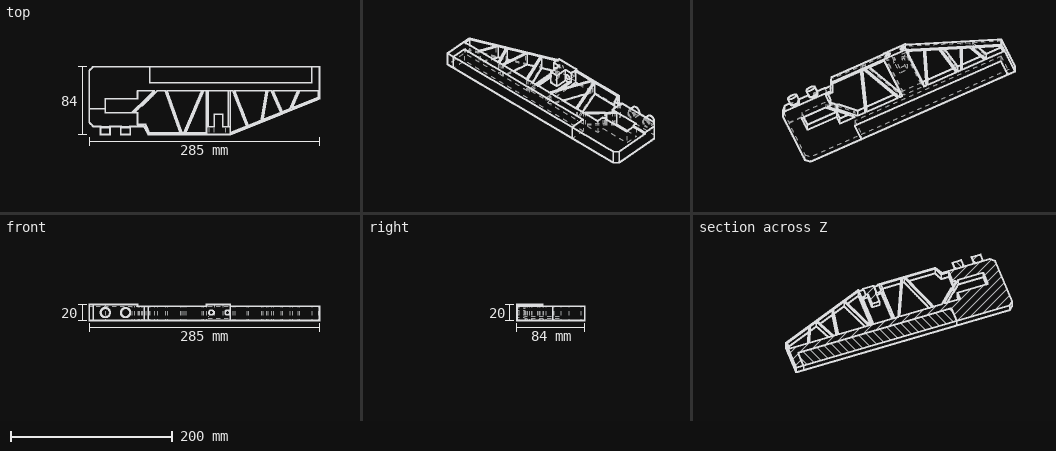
import cadquery as cq
import math

LENGTH = 285.0
DEPTH = 84.0
FRAME_HEIGHT = 18.0
BLOCK_HEIGHT = 20.0
WALL = 2.0
MID_HEIGHT = BLOCK_HEIGHT / 2

BEAM_DEPTH = 30.2
BEAM_FRONT = DEPTH - BEAM_DEPTH

CLAMP_LENGTH = 59.8
CLAMP_FRONT = 10.0
CLAMP_CHAMFER = 5.0
SLOT_START = 20.0
SLOT_FRONT = 27.0
SLOT_BACK = 44.2
JAW_BACK = 32.2

BAR_START = 75.0
BAR_LENGTH = 200.0
BAR_DEPTH = 20.0

LEDGE_WALL = 2.5
LEDGE_END = 67.8
FRONT_WALL_START = 73.2
SLOPE_START = 174.7
SLOPE_END_Y = 44.5

BRIDGE_START = 144.8
BRIDGE_WIDTH = 30.0
BRIDGE_END = BRIDGE_START + BRIDGE_WIDTH
BLOCK_DEPTH = 10.0
STEM_CENTER = 160.0
STEM_WIDTH = 10.3
STEM_BACK = 25.5
FLOOR_THICKNESS = 2.8
RAIL_WIDTH = 2.5
RAIL_HEIGHT = 5.7
CROSS_HOLE_DIAMETER = 6.0
CROSS_HOLE_XS = (151.0, 171.0)

STRAIGHT_STRUTS = ((95.2, 114.0), (140.2, 117.7))
SLOPE_STRUTS = ((178.7, 196.0), (219.7, 213.5), (226.3, 238.3), (258.8, 248.8))

BRACE_START_X = 82.0
BRACE_STEP_Y = 35.5
BRACE_OFFSET = 1.0
BRACE_WIDTH = 2.5

KNOB_XS = (20.0, 45.0)
KNOB_DIAMETER = 12.0
NECK_DIAMETER = 10.3
NECK_LENGTH = 1.5


def box(x0, x1, y0, y1, height):
    """Box standing on Z = 0 between two X and two Y positions."""
    return cq.Workplane("XY").box(x1 - x0, y1 - y0, height, centered=False).translate((x0, y0, 0))


def prism(points, height):
    """Closed polygon extruded up from Z = 0."""
    return cq.Workplane("XY").polyline(points).close().extrude(height)


def strut(start, end, width):
    """Upright strut with ends parallel to X, its width measured square to its length."""
    (x0, y0), (x1, y1) = start, end
    half = width / 2 * math.hypot(x1 - x0, y1 - y0) / abs(y1 - y0)
    return prism([(x0 - half, y0), (x0 + half, y0), (x1 + half, y1), (x1 - half, y1)], FRAME_HEIGHT)


def slope_y(x):
    """Y of the outer face of the sloping front wall."""
    return SLOPE_END_Y * (x - SLOPE_START) / (LENGTH - SLOPE_START)


def clamp_block(back, height):
    """Block of the clamp from its front face to the given back edge."""
    return box(0, CLAMP_LENGTH, CLAMP_FRONT, back, height)


def make_clamp_and_beam():
    beam = box(CLAMP_LENGTH, LENGTH, BEAM_FRONT, DEPTH, FRAME_HEIGHT)
    clamp = clamp_block(DEPTH, FRAME_HEIGHT).edges("|Z and <X").chamfer(CLAMP_CHAMFER)
    jaw = clamp_block(JAW_BACK, BLOCK_HEIGHT).edges("|Z and <X and <Y").chamfer(CLAMP_CHAMFER)
    slot = box(SLOT_START, CLAMP_LENGTH, SLOT_FRONT, SLOT_BACK, BLOCK_HEIGHT)
    return beam.union(clamp).union(jaw).cut(slot)


def make_front_wall():
    slope_angle = math.atan2(SLOPE_END_Y, LENGTH - SLOPE_START)
    slope_rise = WALL / math.cos(slope_angle)
    end_wall_x = LENGTH - WALL
    outer = [
        (CLAMP_LENGTH, CLAMP_FRONT),
        (LEDGE_END, CLAMP_FRONT),
        (FRONT_WALL_START, 0),
        (SLOPE_START, 0),
        (LENGTH, SLOPE_END_Y),
        (LENGTH, BEAM_FRONT),
    ]
    inner = [
        (end_wall_x, BEAM_FRONT),
        (end_wall_x, slope_y(end_wall_x) + slope_rise),
        (SLOPE_START, slope_rise),
        (BRIDGE_END, WALL),
        (FRONT_WALL_START + WALL / 2, WALL),
        (LEDGE_END + WALL, CLAMP_FRONT + LEDGE_WALL),
        (CLAMP_LENGTH, CLAMP_FRONT + LEDGE_WALL),
    ]
    return prism(outer + inner, FRAME_HEIGHT)


def make_struts():
    ends = [(top_x, foot_x, WALL / 2) for top_x, foot_x in STRAIGHT_STRUTS]
    ends += [(top_x, foot_x, slope_y(foot_x) + WALL / 2) for top_x, foot_x in SLOPE_STRUTS]
    return [strut((top_x, BEAM_FRONT), (foot_x, foot_y), WALL) for top_x, foot_x, foot_y in ends]


def make_brace():
    step_x = BRACE_START_X - (BEAM_FRONT - BRACE_STEP_Y)
    thin_x = step_x - BRACE_OFFSET
    jaw_x = thin_x - (BRACE_STEP_Y - SLOT_FRONT)
    thick_part = strut((BRACE_START_X, BEAM_FRONT), (step_x, BRACE_STEP_Y), BRACE_WIDTH)
    thin_part = strut((thin_x, BRACE_STEP_Y), (jaw_x, SLOT_FRONT), WALL)
    return thick_part.union(thin_part)


def make_bridge():
    tray = box(BRIDGE_START, BRIDGE_END, 0, BEAM_FRONT, RAIL_HEIGHT)
    channel = box(BRIDGE_START + RAIL_WIDTH, BRIDGE_END - RAIL_WIDTH, BLOCK_DEPTH, BEAM_FRONT, RAIL_HEIGHT)
    channel = channel.translate((0, 0, FLOOR_THICKNESS))
    block = box(BRIDGE_START, BRIDGE_END, 0, BLOCK_DEPTH, BLOCK_HEIGHT)
    stem_start = STEM_CENTER - STEM_WIDTH / 2
    stem = box(stem_start, stem_start + STEM_WIDTH, 0, STEM_BACK, BLOCK_HEIGHT)
    return tray.cut(channel).union(block).union(stem)


def cut_cross_holes(body):
    for x in CROSS_HOLE_XS:
        hole = cq.Workplane("XZ").center(x, MID_HEIGHT).circle(CROSS_HOLE_DIAMETER / 2).extrude(-BLOCK_DEPTH)
        body = body.cut(hole)
    return body


def make_bar():
    return box(BAR_START, BAR_START + BAR_LENGTH, DEPTH - BAR_DEPTH, DEPTH, FRAME_HEIGHT)


def make_frame():
    frame = make_clamp_and_beam().union(make_front_wall())
    for piece in make_struts():
        frame = frame.union(piece)
    frame = frame.union(make_brace()).union(make_bridge())
    return cut_cross_holes(frame).cut(make_bar())


def make_knob(x):
    """Knob head with a narrower neck that rests on the front face of the clamp."""
    head_length = CLAMP_FRONT - NECK_LENGTH
    head = cq.Workplane("XZ").center(x, MID_HEIGHT).circle(KNOB_DIAMETER / 2).extrude(-head_length)
    neck = cq.Workplane("XZ").center(x, MID_HEIGHT).circle(NECK_DIAMETER / 2).extrude(-CLAMP_FRONT)
    return head.union(neck)


frame = make_frame()
bar = make_bar()
knobs = [make_knob(x) for x in KNOB_XS]

result = cq.Compound.makeCompound([frame.val(), bar.val(), *[knob.val() for knob in knobs]])